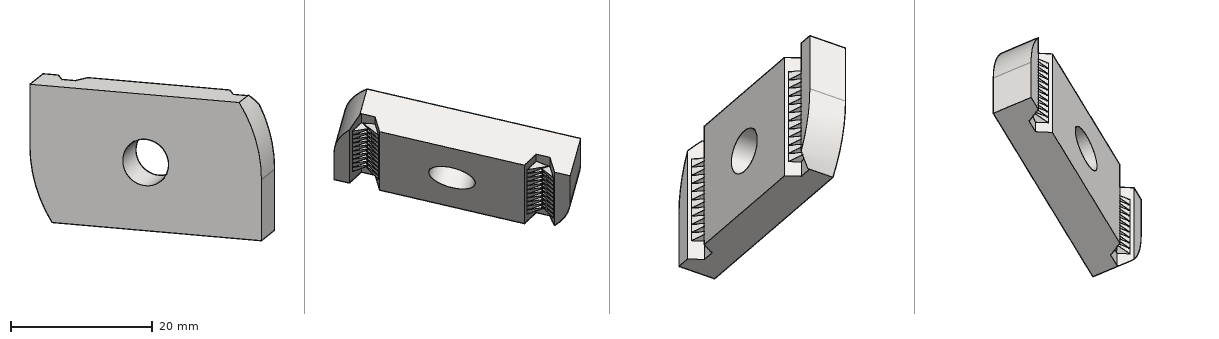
import cadquery as cq
import math

length = 34.5
corner_radius = 20.0
height = 20.0
thickness = 6.0
arc_start = 1.05
bore_diameter = 6.8

groove_offset = 12.75
groove_depth = 2.07
groove_floor_width = 2.0
wall_lean = math.radians(30)

inner_teeth = 11
outer_teeth = inner_teeth - 1
tooth_pitch = 1.38
tooth_start_depth = 0.5
ridge_slope = math.radians(30)

half_height = height / 2
half_length = length / 2
arc_center_x = half_length - corner_radius
arc_rise = half_height + arc_start
corner_x = arc_center_x + math.sqrt(corner_radius**2 - arc_rise**2)
back_y = thickness / 2
floor_y = back_y - groove_depth
half_floor = groove_floor_width / 2
half_lip = half_floor + groove_depth * math.tan(wall_lean)
first_tooth_z = tooth_pitch * (inner_teeth - 1) / 2


def make_plate():
    outline = (
        cq.Workplane("XZ", origin=(0, back_y, 0))
        .moveTo(-corner_x, -half_height)
        .lineTo(half_length, -half_height)
        .lineTo(half_length, -arc_start)
        .tangentArcPoint((corner_x, half_height), relative=False)
        .lineTo(-half_length, half_height)
        .lineTo(-half_length, arc_start)
        .tangentArcPoint((-corner_x, -half_height), relative=False)
        .close()
    )
    bore = cq.Workplane("XZ", origin=(0, back_y, 0)).circle(bore_diameter / 2).extrude(thickness)
    return outline.extrude(thickness).cut(bore)


def make_tooth(wall_side, middle_z):
    """Pyramid with its base on one groove wall and its tip on the floor."""
    rise = groove_depth - tooth_start_depth
    foot_x = wall_side * half_floor
    top_x = wall_side * (half_floor + rise * math.tan(wall_lean))
    tip_x = top_x - wall_side * rise / math.tan(ridge_slope)
    low_z = middle_z - tooth_pitch / 2
    high_z = middle_z + tooth_pitch / 2
    base = [
        cq.Vector(foot_x, floor_y, low_z),
        cq.Vector(top_x, floor_y + rise, low_z),
        cq.Vector(top_x, floor_y + rise, high_z),
        cq.Vector(foot_x, floor_y, high_z),
    ]
    tip = cq.Vector(tip_x, floor_y, middle_z)
    faces = [cq.Face.makeFromWires(cq.Wire.makePolygon(base, close=True))]
    for start, end in zip(base, base[1:] + base[:1]):
        side = cq.Wire.makePolygon([start, end, tip], close=True)
        faces.append(cq.Face.makeFromWires(side))
    return cq.Workplane(cq.Solid.makeSolid(cq.Shell.makeShell(faces)))


def make_groove():
    """Space to remove for the groove on the -X side, with its teeth left standing."""
    space = (
        cq.Workplane("XY", origin=(0, 0, -half_height))
        .polyline([
            (-half_lip, back_y),
            (-half_floor, floor_y),
            (half_floor, floor_y),
            (half_lip, back_y),
        ])
        .close()
        .extrude(height)
    )
    for index in range(inner_teeth):
        space = space.cut(make_tooth(1, first_tooth_z - index * tooth_pitch))
    for index in range(outer_teeth):
        space = space.cut(make_tooth(-1, first_tooth_z - (index + 0.5) * tooth_pitch))
    return space.translate((-groove_offset, 0, 0))


groove = make_groove()
result = make_plate().cut(groove).cut(groove.mirror("YZ"))